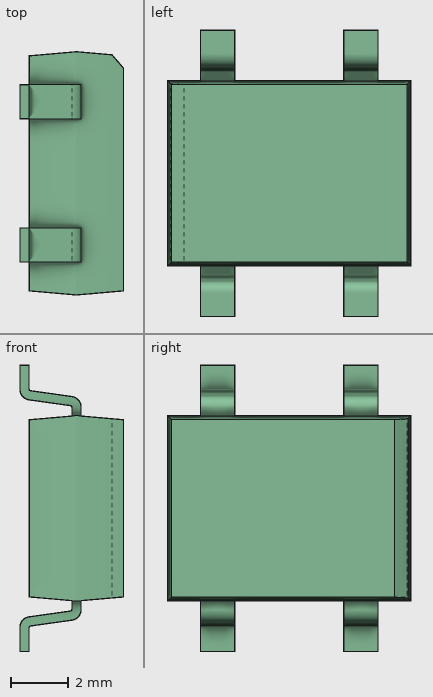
import cadquery as cq
import math

half_thickness = 1.65
body_width = 8.5
body_height = 6.48
draft_angle = 5.0

bevel_x = 0.41
bevel_y = 0.44

overall_height = 10.0
lead_thickness = 0.33
lead_width = 1.2
lead_pitch = 5.0
standoff = 0.33
foot_length = 0.84
slope_angle = math.radians(8.0)
inner_radius = 0.05
embed_depth = 0.4

outer_radius = inner_radius + lead_thickness


def make_body():
    """Body halves drafted away from the parting plane, with one bevelled edge."""
    parting_plane = cq.Workplane("YZ").rect(body_width, body_height)
    front_half = parting_plane.extrude(half_thickness, taper=draft_angle)
    body = front_half.union(front_half.mirror("YZ"))

    draft_slope = math.tan(math.radians(draft_angle))
    corner_y = body_width / 2 - half_thickness * draft_slope
    bevel_start = (half_thickness - bevel_x, corner_y + bevel_x * draft_slope)
    bevel_end = (half_thickness, corner_y - bevel_y)
    bevel = (
        cq.Workplane("XY")
        .polyline([bevel_start, bevel_end, (half_thickness, bevel_start[1])])
        .close()
        .extrude(body_height / 2, both=True)
    )
    return body.cut(bevel)


def on_circle(center, radius, angle):
    return (center[0] + radius * math.cos(angle), center[1] + radius * math.sin(angle))


def make_upper_lead(center_y):
    """Z-bent strip rising from the top of the body at the parting plane."""
    foot_x = -half_thickness - standoff
    root_x = lead_thickness / 2
    top_z = overall_height / 2
    root_z = body_height / 2 - embed_depth

    foot_bend = (foot_x + outer_radius, top_z - foot_length)
    root_bend_x = root_x - outer_radius
    bend_span = root_bend_x - foot_bend[0]
    bend_drop = bend_span * math.tan(slope_angle) + (inner_radius + outer_radius) / math.cos(slope_angle)
    root_bend = (root_bend_x, foot_bend[1] - bend_drop)

    root_end = math.pi / 2 - slope_angle
    root_middle = root_end / 2
    foot_end = root_end + math.pi
    foot_middle = root_middle + math.pi

    return (
        cq.Workplane("XZ", origin=(0, center_y, 0))
        .moveTo(foot_x, top_z)
        .lineTo(*on_circle(foot_bend, outer_radius, math.pi))
        .threePointArc(
            on_circle(foot_bend, outer_radius, foot_middle),
            on_circle(foot_bend, outer_radius, foot_end),
        )
        .lineTo(*on_circle(root_bend, inner_radius, root_end))
        .threePointArc(
            on_circle(root_bend, inner_radius, root_middle),
            on_circle(root_bend, inner_radius, 0),
        )
        .lineTo(root_x - lead_thickness, root_z)
        .lineTo(root_x, root_z)
        .lineTo(*on_circle(root_bend, outer_radius, 0))
        .threePointArc(
            on_circle(root_bend, outer_radius, root_middle),
            on_circle(root_bend, outer_radius, root_end),
        )
        .lineTo(*on_circle(foot_bend, inner_radius, foot_end))
        .threePointArc(
            on_circle(foot_bend, inner_radius, foot_middle),
            on_circle(foot_bend, inner_radius, math.pi),
        )
        .lineTo(foot_x + lead_thickness, top_z)
        .close()
        .extrude(lead_width / 2, both=True)
    )


result = make_body()
for lead_y in (-lead_pitch / 2, lead_pitch / 2):
    upper_lead = make_upper_lead(lead_y)
    result = result.union(upper_lead).union(upper_lead.mirror("XY"))